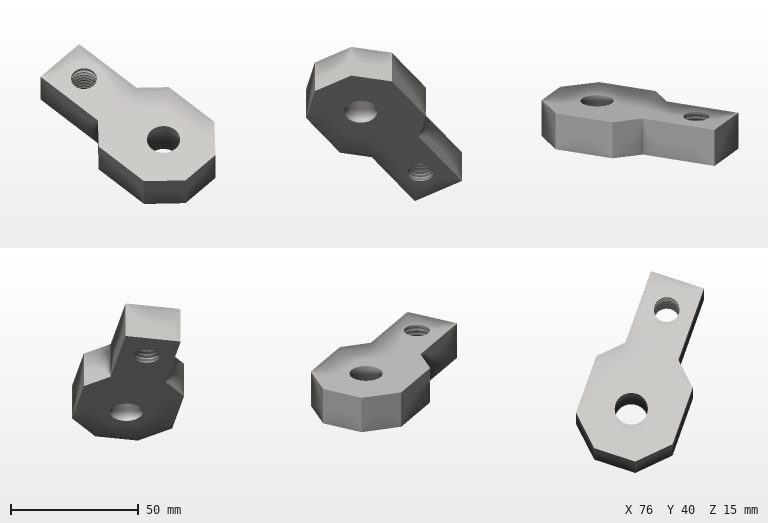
import cadquery as cq
import math

thickness = 15.0
head_width = 40.0
head_end_x = head_width / 2
head_corner_cut = 11.5
overall_length = 76.0
neck_end_x = head_end_x - overall_length
neck_width = 22.0
neck_length = 31.0

bore_diameter = 13.0

thread_x = -43.0
thread_major_diameter = 12.0
thread_pitch = 1.75
thread_flank_angle = 30.0
thread_sharp_height = thread_pitch / 2 / math.tan(math.radians(thread_flank_angle))
thread_depth = thread_sharp_height * 5 / 8
thread_minor_diameter = thread_major_diameter - 2 * thread_depth
groove_root_width = thread_pitch / 8
groove_mouth_width = thread_pitch * 3 / 4
groove_count = math.floor(thickness / thread_pitch)


def make_plate():
    """Neck that widens at 45 degrees into a head with two cut corners."""
    half_head = head_width / 2
    half_neck = neck_width / 2
    shoulder_x = neck_end_x + neck_length
    head_start_x = shoulder_x + half_head - half_neck
    upper_half = [
        (neck_end_x, 0),
        (neck_end_x, half_neck),
        (shoulder_x, half_neck),
        (head_start_x, half_head),
        (head_end_x - head_corner_cut, half_head),
        (head_end_x, half_head - head_corner_cut),
        (head_end_x, 0),
    ]
    return cq.Workplane("XY").polyline(upper_half).mirrorX().extrude(thickness)


def make_drill(x, diameter):
    """Cylinder through the full plate thickness."""
    return cq.Workplane("XY").center(x, 0).circle(diameter / 2).extrude(thickness)


def make_thread_groove(middle_z):
    """Solid disc whose rim fills one V groove centred on middle_z."""
    inner = thread_minor_diameter / 2
    outer = thread_major_diameter / 2
    profile = [
        (0, middle_z + groove_mouth_width / 2),
        (inner, middle_z + groove_mouth_width / 2),
        (outer, middle_z + groove_root_width / 2),
        (outer, middle_z - groove_root_width / 2),
        (inner, middle_z - groove_mouth_width / 2),
        (0, middle_z - groove_mouth_width / 2),
    ]
    disc = cq.Workplane("XZ").polyline(profile).close().revolve(360, (0, 0, 0), (0, 1, 0))
    return disc.translate((thread_x, 0, 0))


result = make_plate()
result = result.cut(make_drill(0, bore_diameter))
result = result.cut(make_drill(thread_x, thread_minor_diameter))

for turn in range(groove_count):
    result = result.cut(make_thread_groove((turn + 0.5) * thread_pitch))